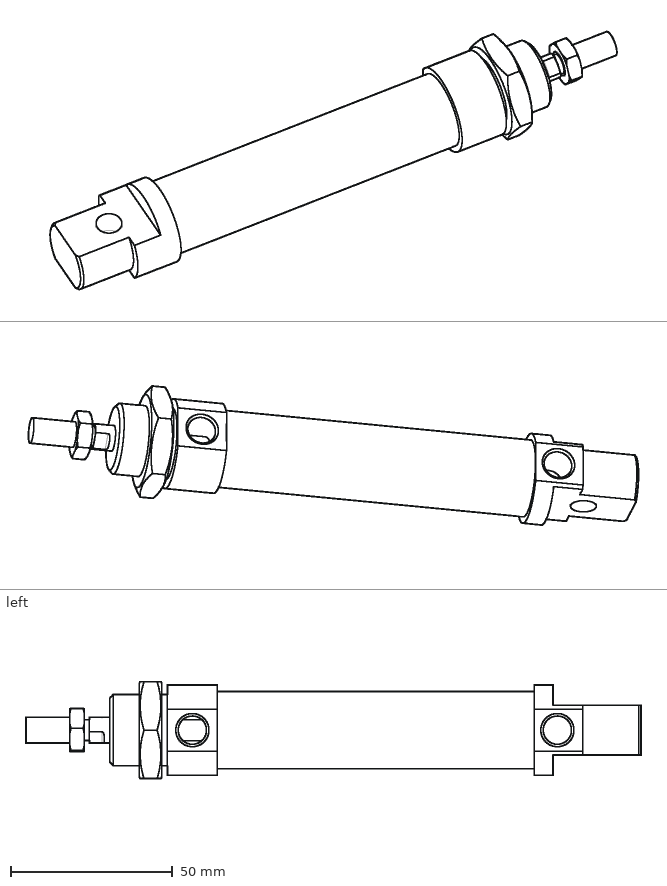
import cadquery as cq
import math

ROD_TIP_Y = 190.0

SPIGOT_END_Y = 18.0
REAR_FLATS_END_Y = 27.2
REAR_CAP_END_Y = 33.0
FRONT_CAP_START_Y = 131.0
FRONT_CAP_END_Y = 146.3
NOSE_END_Y = 164.2

BARREL_DIAMETER = 24.0
CAP_DIAMETER = 28.0
NOSE_DIAMETER = 22.0
NOSE_CHAMFER = 1.1
SPIGOT_CHAMFER = 0.8
REAR_TONGUE_THICKNESS = 15.4
CROSS_HOLE_DIAMETER = 8.0
CROSS_HOLE_Y = 15.2

PORT_FLAT_X = -12.4
PORT_DIAMETER = 8.7
PORT_CHAMFER = 0.8
PORT_FLOOR_X = 1.9
REAR_PORT_Y = 25.8
FRONT_PORT_Y = (FRONT_CAP_START_Y + FRONT_CAP_END_Y) / 2

ROD_DIAMETER = 8.0
NECK_DIAMETER = 6.5
ROD_SHOULDER_Y = 170.5
ROD_TAIL_LENGTH = 15.2
ROD_TAIL_START_Y = FRONT_PORT_Y - ROD_TAIL_LENGTH / 2
ROD_TAIL_END_Y = FRONT_PORT_Y + ROD_TAIL_LENGTH / 2
WRENCH_FLAT_START_Y = 165.9
WRENCH_FLAT_WIDTH = 5.9
WRENCH_FLAT_FILLET = 0.8
WRENCH_FLAT_ANGLE = 50.0

ROD_NUT_START_Y = 172.0
ROD_NUT_END_Y = 176.5
ROD_NUT_FLATS = 13.0
ROD_NUT_ANGLE = -4.0
ROD_NUT_CHAMFER_DIAMETER = 13.3
MOUNT_NUT_START_Y = 148.0
MOUNT_NUT_END_Y = 155.0
MOUNT_NUT_FLATS = 30.0
MOUNT_NUT_CHAMFER_DIAMETER = 28.9
NUT_CHAMFER_ANGLE = 27.0


def cylinder(diameter, start_y, end_y):
    """Cylinder on the Y axis between two stations."""
    plane = cq.Workplane("XZ", origin=(0, start_y, 0))
    return plane.circle(diameter / 2).extrude(start_y - end_y)


def port_cutter(port_y):
    """Port hole with a chamfered mouth, from the flat to its floor."""
    radius = PORT_DIAMETER / 2
    mouth_radius = radius + PORT_CHAMFER
    profile = [
        (PORT_FLOOR_X, 0),
        (PORT_FLOOR_X, radius),
        (PORT_FLAT_X + PORT_CHAMFER, radius),
        (PORT_FLAT_X, mouth_radius),
        (PORT_FLAT_X, 0),
    ]
    cutter = cq.Workplane("XY").polyline(profile).close()
    return cutter.revolve(360, (0, 0, 0), (1, 0, 0)).translate((0, port_y, 0))


def flat_sided_cap(start_y, end_y):
    """Round cap with a flat on its -X side."""
    cap_box = cq.Workplane("XY").box(
        CAP_DIAMETER, end_y - start_y, CAP_DIAMETER, centered=(False, False, True)
    )
    return cylinder(CAP_DIAMETER, start_y, end_y).intersect(cap_box.translate((PORT_FLAT_X, start_y, 0)))


def tongue_slab(end_y):
    """Slab that trims the rear of the housing to two parallel flats."""
    return cq.Workplane("XY").box(
        CAP_DIAMETER, end_y, REAR_TONGUE_THICKNESS, centered=(True, False, True)
    )


def make_rod_blank():
    """Round rod with its tail, guide length, neck and tip."""
    rod = cylinder(NECK_DIAMETER, ROD_TAIL_START_Y, ROD_NUT_START_Y)
    rod = rod.union(cylinder(ROD_DIAMETER, ROD_TAIL_END_Y, ROD_SHOULDER_Y))
    return rod.union(cylinder(ROD_DIAMETER, ROD_NUT_START_Y, ROD_TIP_Y))


def make_housing(rod_blank):
    """Barrel, both caps, front nose and rear mounting tongue."""
    spigot = cylinder(NOSE_DIAMETER, 0, SPIGOT_END_Y).faces("<Y").chamfer(SPIGOT_CHAMFER)
    tongue = spigot.union(flat_sided_cap(SPIGOT_END_Y, REAR_FLATS_END_Y))
    tongue = tongue.intersect(tongue_slab(REAR_FLATS_END_Y))
    rear_cap = flat_sided_cap(REAR_FLATS_END_Y, REAR_CAP_END_Y)

    barrel = cylinder(BARREL_DIAMETER, REAR_CAP_END_Y, FRONT_CAP_START_Y)
    front_cap = flat_sided_cap(FRONT_CAP_START_Y, FRONT_CAP_END_Y)
    nose = cylinder(NOSE_DIAMETER, FRONT_CAP_END_Y, NOSE_END_Y).faces(">Y").chamfer(NOSE_CHAMFER)
    housing = tongue.union(rear_cap).union(barrel).union(front_cap).union(nose)

    cross_hole = cq.Workplane("XY").center(0, CROSS_HOLE_Y).circle(CROSS_HOLE_DIAMETER / 2)
    housing = housing.cut(cross_hole.extrude(CAP_DIAMETER / 2, both=True))
    for port_y in (REAR_PORT_Y, FRONT_PORT_Y):
        housing = housing.cut(port_cutter(port_y))
    return housing.cut(rod_blank)


def make_rod(rod_blank):
    """Piston rod with two wrench flats behind its shoulder."""
    rod = rod_blank
    flat_length = ROD_SHOULDER_Y - WRENCH_FLAT_START_Y
    cutter = cq.Workplane("XY").box(
        ROD_DIAMETER, flat_length, 2 * ROD_DIAMETER, centered=(False, False, True)
    )
    cutter = cutter.edges("<X and <Y").fillet(WRENCH_FLAT_FILLET)
    cutter = cutter.translate((WRENCH_FLAT_WIDTH / 2, WRENCH_FLAT_START_Y, 0))
    for turn in (0, 180):
        rod = rod.cut(cutter.rotate((0, 0, 0), (0, 1, 0), -(WRENCH_FLAT_ANGLE + turn)))
    return rod


def make_hex_nut(start_y, end_y, flats, bore, chamfer_diameter, angle):
    """Hexagon nut on the Y axis with conical chamfers on both faces."""
    corner_radius = flats / math.sqrt(3)
    face_radius = chamfer_diameter / 2
    chamfer_depth = (corner_radius - face_radius) * math.tan(math.radians(NUT_CHAMFER_ANGLE))
    cone_profile = [
        (0, start_y),
        (face_radius, start_y),
        (corner_radius, start_y + chamfer_depth),
        (corner_radius, end_y - chamfer_depth),
        (face_radius, end_y),
        (0, end_y),
    ]
    cone_limits = cq.Workplane("XY").polyline(cone_profile).close().revolve(360, (0, 0, 0), (0, 1, 0))
    plane = cq.Workplane("XZ", origin=(0, start_y, 0))
    nut = plane.polygon(6, 2 * corner_radius).extrude(start_y - end_y)
    nut = nut.rotate((0, 0, 0), (0, 1, 0), -angle)
    return nut.intersect(cone_limits).cut(cylinder(bore, start_y, end_y))


rod_blank = make_rod_blank()
housing = make_housing(rod_blank)
rod = make_rod(rod_blank)
rod_nut = make_hex_nut(
    ROD_NUT_START_Y, ROD_NUT_END_Y, ROD_NUT_FLATS, ROD_DIAMETER, ROD_NUT_CHAMFER_DIAMETER, ROD_NUT_ANGLE
)
mounting_nut = make_hex_nut(
    MOUNT_NUT_START_Y, MOUNT_NUT_END_Y, MOUNT_NUT_FLATS, NOSE_DIAMETER, MOUNT_NUT_CHAMFER_DIAMETER, 0
)

result = cq.Compound.makeCompound([housing.val(), rod.val(), rod_nut.val(), mounting_nut.val()])